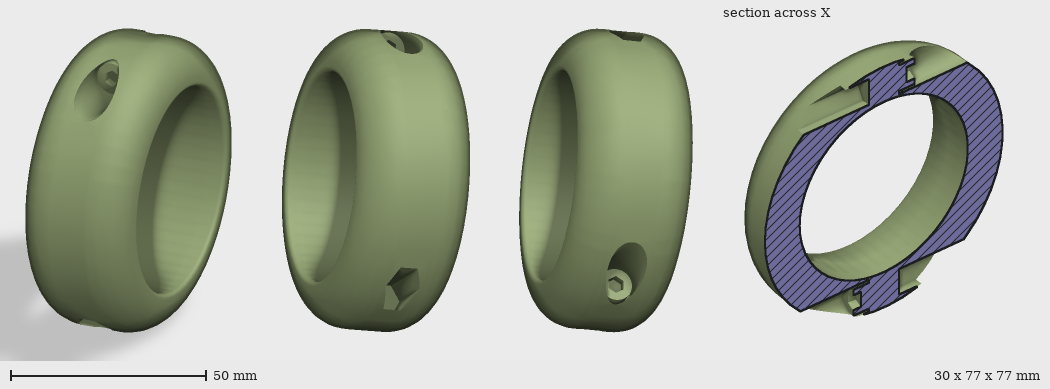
import cadquery as cq
import math

outer_diameter = 77
bore_diameter = 54.2
ring_width = 30
outer_fillet = ring_width / 3
bore_fillet = 1.0

screw_height = 32.5
seat_offset = 4.9
screw_pocket_diameter = 10
head_diameter = 8.5
head_length = 5.0
socket_flats = 4.0
socket_depth = 2.5
nut_flats = 8.0


def hexagon_bar(flats, length):
    """Hexagonal bar from Y = 0 toward -Y, with two flats facing +Z and -Z."""
    corners = flats / math.cos(math.radians(30))
    return cq.Workplane("XZ").polygon(6, corners).extrude(length)


def round_bar(diameter, length):
    """Round bar from Y = 0 toward -Y."""
    return cq.Workplane("XZ").circle(diameter / 2).extrude(length)


def make_ring():
    ring = (
        cq.Workplane("YZ")
        .circle(outer_diameter / 2)
        .circle(bore_diameter / 2)
        .extrude(ring_width / 2, both=True)
    )
    outer_edges = cq.selectors.RadiusNthSelector(-1)
    ring = ring.faces("<X or >X").edges(outer_edges).fillet(outer_fillet)
    bore_edges = cq.selectors.RadiusNthSelector(0)
    return ring.faces("<X or >X").edges(bore_edges).fillet(bore_fillet)


def make_screw_head():
    """Cylindrical head with a hexagonal socket whose corners point along Z."""
    socket = (
        hexagon_bar(socket_flats, socket_depth)
        .rotate((0, 0, 0), (0, 1, 0), 90)
        .translate((0, socket_depth - head_length, 0))
    )
    return round_bar(head_diameter, head_length).cut(socket)


pocket_length = outer_diameter / 2
screw_seat = (0, -seat_offset, screw_height)
nut_seat = (0, -seat_offset, -screw_height)
screw_pocket = round_bar(screw_pocket_diameter, pocket_length).cut(make_screw_head())
nut_pocket = hexagon_bar(nut_flats, pocket_length)

result = make_ring()
for turn in (0, 180):
    for pocket, seat in ((screw_pocket, screw_seat), (nut_pocket, nut_seat)):
        placed = pocket.translate(seat).rotate((0, 0, 0), (1, 0, 0), turn)
        result = result.cut(placed)